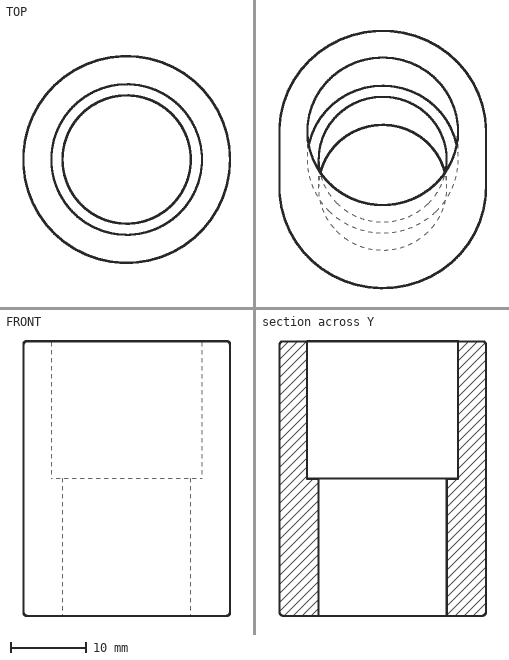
import cadquery as cq

length = 36.5
outer_diameter = 27.5
edge_radius = 0.5

wide_bore_diameter = 20.0
narrow_bore_diameter = 17.0
wide_bore_depth = length / 2


def make_body():
    """Solid cylinder with both outer rims rounded."""
    body = cq.Workplane("XY").circle(outer_diameter / 2).extrude(length)
    return body.faces("<Z or >Z").edges().fillet(edge_radius)


def cut_stepped_bore(body):
    """Narrow bore right through, widened from the top down to a ledge."""
    return body.faces(">Z").workplane().cboreHole(
        narrow_bore_diameter, wide_bore_diameter, wide_bore_depth
    )


result = cut_stepped_bore(make_body())